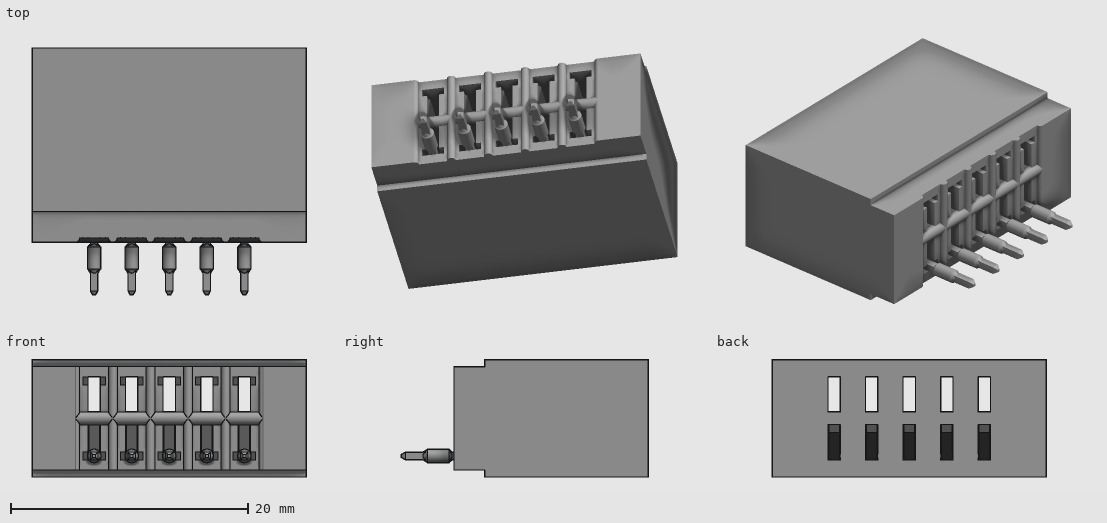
import cadquery as cq


width = 23.1
housing_depth = 16.38
height = 9.91
step_length = 2.59
step_height = 0.6
face_height = height - 2 * step_height

pitch = 3.17
cell_count = 5
cells_width = cell_count * pitch
cell_centres = [(i - (cell_count - 1) / 2) * pitch for i in range(cell_count)]
post_centres = [(i - cell_count / 2) * pitch for i in range(cell_count + 1)]

recess_depth = 0.37
post_radius = 0.37
bar_radius = 0.58

slot_width = 1.02
slot_inner_z = 0.53
slot_outer_z = 3.5
pocket_width = 1.9
pocket_height = 0.67
pocket_end = 1.75

pin_size = 0.65
pin_z = pin_size / 2 - slot_outer_z
pin_length = 4.44
tip_length = 0.35
tip_size = 0.25
collar_radius = 0.58
collar_start = 0.32
collar_end = 2.33
collar_chamfer = 0.1
collar_back_taper = 0.18
collar_front_taper = 0.28

blade_width = 0.92
blade_start = 1.15
blade_length = 5.32


def block(x_size, y_start, y_end, z_low, z_high, x_centre=0.0):
    """Box given by its width about x_centre and its Y and Z limits."""
    return cq.Workplane("XY").box(
        x_size, y_end - y_start, z_high - z_low, centered=(True, False, False)
    ).translate((x_centre, y_start, z_low))


def make_shell():
    """Plain outer block, stepped down on the pin side."""
    body = block(width, step_length, housing_depth, -height / 2, height / 2)
    return body.union(block(width, 0, step_length, -face_height / 2, face_height / 2))


def make_grid():
    """Posts and bar standing in the recess, with their crests level with the pin side."""
    bar = (
        cq.Workplane("YZ")
        .center(bar_radius, 0)
        .circle(bar_radius)
        .extrude(cells_width / 2, both=True)
    )
    posts = (
        cq.Workplane("XY")
        .pushPoints([(x, post_radius) for x in post_centres])
        .circle(post_radius)
        .extrude(face_height / 2, both=True)
    )
    return bar.union(posts)


def make_slot(x_centre, side):
    """Through slot with a wider blind pocket at its outer end; side is 1 above the bar, -1 below."""
    inner = side * slot_inner_z
    outer = side * slot_outer_z
    ledge = side * (slot_outer_z - pocket_height)
    slot = block(
        slot_width, recess_depth, housing_depth, min(inner, outer), max(inner, outer), x_centre
    )
    pocket = block(
        pocket_width, recess_depth, pocket_end, min(ledge, outer), max(ledge, outer), x_centre
    )
    return slot.union(pocket)


def make_housing():
    body = make_shell().cut(block(cells_width, 0, recess_depth, -face_height / 2, face_height / 2))
    for x in cell_centres:
        for side in (1, -1):
            body = body.cut(make_slot(x, side))
    return body.union(make_grid())


def make_pin(x_centre):
    """Square pin with a tapered tip, a round collar and an inner blade sloping up to the bar."""
    half = pin_size / 2
    shank_end = pin_length - tip_length
    shank = block(pin_size, -shank_end, blade_start, -half, half)
    tip = (
        cq.Workplane("XZ", origin=(0, -shank_end, 0))
        .rect(pin_size, pin_size)
        .workplane(offset=tip_length)
        .rect(tip_size, tip_size)
        .loft(ruled=True)
    )
    shoulder_radius = collar_radius - collar_chamfer
    collar = (
        cq.Workplane("XY")
        .moveTo(0, collar_back_taper - collar_start)
        .lineTo(half, collar_back_taper - collar_start)
        .lineTo(shoulder_radius, -collar_start)
        .lineTo(collar_radius, -collar_start - collar_chamfer)
        .lineTo(collar_radius, -collar_end + collar_chamfer)
        .lineTo(shoulder_radius, -collar_end)
        .lineTo(half, -collar_end - collar_front_taper)
        .lineTo(0, -collar_end - collar_front_taper)
        .close()
        .revolve(360, (0, 0, 0), (0, 1, 0))
    )
    blade_rise = -slot_inner_z - (pin_z + half)
    blade = (
        cq.Workplane("YZ")
        .moveTo(blade_start, -half)
        .lineTo(blade_start + blade_length, blade_rise - half)
        .lineTo(blade_start + blade_length, blade_rise + half)
        .lineTo(blade_start, half)
        .close()
        .extrude(blade_width / 2, both=True)
    )
    return shank.union(tip).union(collar).union(blade).translate((x_centre, 0, pin_z))


housing = make_housing()
pins = [make_pin(x) for x in cell_centres]
result = cq.Compound.makeCompound([housing.val(), *[pin.val() for pin in pins]])